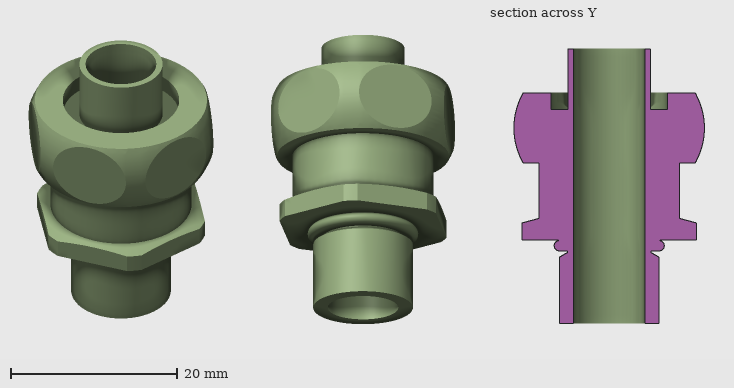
import cadquery as cq
import math

SHOULDER_Z = 8.0
NECK_Z = 8.55
FLANGE_Z = 10.0
FLANGE_TOP_Z = 12.65
NUT_Z = 19.25
NUT_HEIGHT = 8.5
NUT_TOP_Z = NUT_Z + NUT_HEIGHT
TOTAL_HEIGHT = 33.0

BORE_DIAMETER = 8.5
TUBE_DIAMETER = 10.0
SPIGOT_DIAMETER = 12.0
NECK_DIAMETER = 10.1
BODY_DIAMETER = 17.0

RING_DIAMETER = 13.3
RING_HEIGHT = 1.3

FLANGE_ACROSS_FLATS = 19.0
FLANGE_DIAMETER = 21.0
FLANGE_CONE_ANGLE = 15.0

NUT_ACROSS_FLATS = 21.0
NUT_DIAMETER = 23.0
NUT_END_DIAMETER = 20.7
RECESS_DIAMETER = 14.0
RECESS_DEPTH = 2.0


def cylinder(diameter, bottom, top):
    return cq.Workplane("XY").workplane(offset=bottom).circle(diameter / 2).extrude(top - bottom)


def hexagon(across_flats, bottom, top):
    """Hexagonal prism with two corners on the X axis."""
    across_corners = across_flats / math.cos(math.radians(30))
    return cq.Workplane("XY").workplane(offset=bottom).polygon(6, across_corners).extrude(top - bottom)


def revolve_about_z(profile):
    """Revolve a closed XZ profile about the Z axis."""
    return profile.close().revolve(360, (0, 0, 0), (0, 1, 0))


def make_spigot():
    """Spigot with a chamfered shoulder and a narrower neck up to the flange."""
    spigot_radius = SPIGOT_DIAMETER / 2
    neck_radius = NECK_DIAMETER / 2
    profile = cq.Workplane("XZ").polyline([
        (0, 0),
        (spigot_radius, 0),
        (spigot_radius, SHOULDER_Z),
        (neck_radius, NECK_Z),
        (neck_radius, FLANGE_Z),
        (0, FLANGE_Z),
    ])
    return revolve_about_z(profile)


def make_sealing_ring():
    """Disc with a round outer edge, joined to the neck and touching the flange."""
    edge_center = RING_DIAMETER / 2 - RING_HEIGHT / 2
    bottom = FLANGE_Z - RING_HEIGHT
    profile = (
        cq.Workplane("XZ")
        .moveTo(0, bottom)
        .lineTo(edge_center, bottom)
        .threePointArc((RING_DIAMETER / 2, FLANGE_Z - RING_HEIGHT / 2), (edge_center, FLANGE_Z))
        .lineTo(0, FLANGE_Z)
    )
    return revolve_about_z(profile)


def make_flange():
    """Hexagonal flange with turned corners and a conical upper face."""
    body_radius = BODY_DIAMETER / 2
    flange_radius = FLANGE_DIAMETER / 2
    cone_drop = (flange_radius - body_radius) * math.tan(math.radians(FLANGE_CONE_ANGLE))
    envelope = cq.Workplane("XZ").polyline([
        (0, FLANGE_Z),
        (flange_radius, FLANGE_Z),
        (flange_radius, FLANGE_TOP_Z - cone_drop),
        (body_radius, FLANGE_TOP_Z),
        (0, FLANGE_TOP_Z),
    ])
    return hexagon(FLANGE_ACROSS_FLATS, FLANGE_Z, FLANGE_TOP_Z).intersect(revolve_about_z(envelope))


def make_nut():
    """Barrel-shaped nut with six flats and a round recess in its upper face."""
    end_radius = NUT_END_DIAMETER / 2
    barrel = (
        cq.Workplane("XZ")
        .moveTo(0, NUT_Z)
        .lineTo(end_radius, NUT_Z)
        .threePointArc((NUT_DIAMETER / 2, NUT_Z + NUT_HEIGHT / 2), (end_radius, NUT_TOP_Z))
        .lineTo(0, NUT_TOP_Z)
    )
    nut = hexagon(NUT_ACROSS_FLATS, NUT_Z, NUT_TOP_Z).intersect(revolve_about_z(barrel))
    return nut.cut(cylinder(RECESS_DIAMETER, NUT_TOP_Z - RECESS_DEPTH, NUT_TOP_Z))


body = cylinder(BODY_DIAMETER, FLANGE_Z, NUT_Z)
tube = cylinder(TUBE_DIAMETER, NUT_Z, TOTAL_HEIGHT)
bore = cylinder(BORE_DIAMETER, 0, TOTAL_HEIGHT)

result = (
    make_spigot()
    .union(make_sealing_ring())
    .union(make_flange())
    .union(body)
    .union(make_nut())
    .union(tube)
    .cut(bore)
)